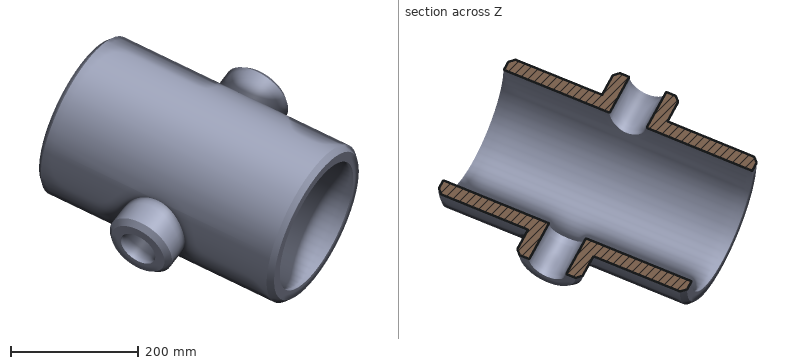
import cadquery as cq

run_length = 431.8
run_outer_diameter = 273.05
run_bore_diameter = 222.25

branch_span = 368.3
branch_outer_diameter = 114.3
branch_bore_diameter = 63.5

bevel = 8.5


def bevelled_rod(plane, length, diameter):
    """Solid rod centred on the origin along the plane normal, both ends bevelled."""
    rod = cq.Workplane(plane).circle(diameter / 2).extrude(length / 2, both=True)
    return rod.faces("%PLANE").edges().chamfer(bevel)


def centred_bore(plane, length, diameter):
    """Through-bore cutter centred on the origin along the plane normal."""
    return cq.Workplane(plane).circle(diameter / 2).extrude(length / 2, both=True)


run_body = bevelled_rod("YZ", run_length, run_outer_diameter)
branch_body = bevelled_rod("XZ", branch_span, branch_outer_diameter)
run_bore = centred_bore("YZ", run_length, run_bore_diameter)
branch_bore = centred_bore("XZ", branch_span, branch_bore_diameter)

result = run_body.union(branch_body).cut(run_bore).cut(branch_bore)